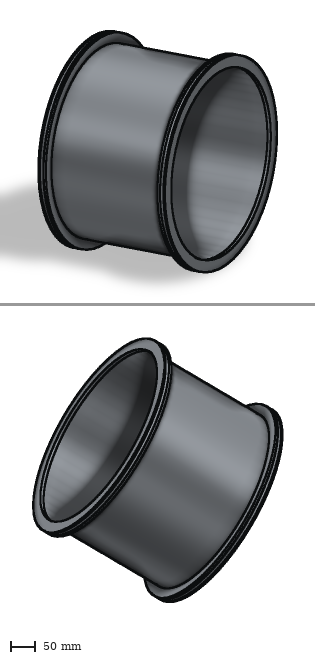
import cadquery as cq

length = 300.0
flange_diameter = 450.0
bore_diameter = 400.0
tube_wall = 3.0
flange_width = 18.0
outer_land = 3.5
groove_radius = 4.0
socket_offset = 8.0

flange_radius = flange_diameter / 2
bore_radius = bore_diameter / 2
tube_radius = bore_radius + tube_wall
half_length = length / 2
tube_length = length - 2 * socket_offset


def make_tube():
    """Straight tube whose ends sit in the flange sockets."""
    return (
        cq.Workplane("YZ", origin=(-tube_length / 2, 0, 0))
        .circle(tube_radius)
        .circle(bore_radius)
        .extrude(tube_length)
    )


def make_flange(side):
    """Grooved flange ring at the -X end (side = -1) or the +X end (side = 1)."""
    face_x = side * half_length
    socket_x = side * (half_length - socket_offset)
    back_x = side * (half_length - flange_width)
    groove_start_x = side * (half_length - outer_land)
    groove_mid_x = side * (half_length - outer_land - groove_radius)
    groove_end_x = side * (half_length - outer_land - 2 * groove_radius)

    profile = (
        cq.Workplane("XY")
        .moveTo(face_x, bore_radius)
        .lineTo(face_x, flange_radius)
        .lineTo(groove_start_x, flange_radius)
        .threePointArc((groove_mid_x, flange_radius - groove_radius), (groove_end_x, flange_radius))
        .lineTo(back_x, flange_radius)
        .lineTo(back_x, tube_radius)
        .lineTo(socket_x, tube_radius)
        .lineTo(socket_x, bore_radius)
        .close()
    )
    return profile.revolve(360, (0, 0, 0), (1, 0, 0))


tube = make_tube()
flanges = [make_flange(side) for side in (-1, 1)]

result = cq.Compound.makeCompound([tube.val(), *[flange.val() for flange in flanges]])